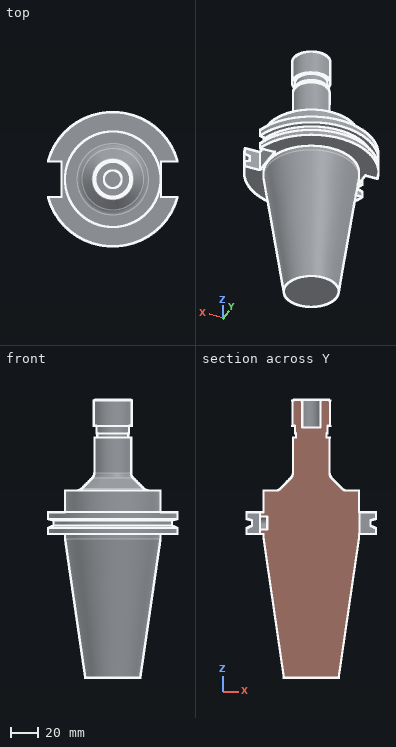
import cadquery as cq
import math

total_height = 203.2
taper_height = 101.4
gauge_radius = 35.0
taper_ratio = 7 / 24
taper_end_radius = gauge_radius - taper_height * taper_ratio / 2

flange_bottom = 105.0
flange_top = 121.1
flange_radius = 49.2
groove_floor_radius = 45.3
groove_bottom = 109.3
groove_floor_bottom = 111.2
groove_floor_top = 115.0
groove_top = 116.0

notch_width = 25.8
left_notch_floor = 37.5
right_notch_floor = 35.4
side_hole_radius = 4.7
side_hole_depth = 5.3

collar_top = 137.0
cone_foot_radius = 24.0
arbor_diameter = 27.0
arbor_radius = arbor_diameter / 2
cone_top = collar_top + cone_foot_radius - arbor_radius
blend_radius = 5.0
arbor_top = 175.5

lower_neck_radius = 11.4
upper_neck_radius = 12.0
neck_step_height = 178.6
head_radius = 14.0
head_bottom = 184.0
head_chamfer_width = 1.2
head_chamfer_height = head_chamfer_width * math.tan(math.radians(30))
bore_radius = 6.5
bore_depth = 20.3


def revolved(points):
    """Revolve a closed (radius, height) outline about the Z axis."""
    return cq.Workplane("XZ").polyline(points).close().revolve(360, (0, 0, 0), (0, 1, 0))


def shank_and_flange():
    return revolved([
        (0, 0),
        (taper_end_radius, 0),
        (gauge_radius, taper_height),
        (gauge_radius, flange_bottom),
        (flange_radius, flange_bottom),
        (flange_radius, groove_bottom),
        (groove_floor_radius, groove_floor_bottom),
        (groove_floor_radius, groove_floor_top),
        (flange_radius, groove_top),
        (flange_radius, flange_top),
        (0, flange_top),
    ])


def collar_and_arbor():
    body = revolved([
        (0, flange_top),
        (gauge_radius, flange_top),
        (gauge_radius, collar_top),
        (cone_foot_radius, collar_top),
        (arbor_radius, cone_top),
        (arbor_radius, arbor_top),
        (0, arbor_top),
    ])
    cone_edges = cq.selectors.BoxSelector(
        (-cone_foot_radius - 2, -cone_foot_radius - 2, collar_top - 2),
        (cone_foot_radius + 2, cone_foot_radius + 2, cone_top + 2),
        boundingbox=True,
    )
    return body.edges(cone_edges).edges("%CIRCLE").fillet(blend_radius)


def neck_and_head():
    return revolved([
        (0, arbor_top),
        (lower_neck_radius, arbor_top),
        (lower_neck_radius, neck_step_height),
        (upper_neck_radius, neck_step_height),
        (upper_neck_radius, head_bottom),
        (head_radius, head_bottom),
        (head_radius, total_height - head_chamfer_height),
        (head_radius - head_chamfer_width, total_height),
        (bore_radius, total_height),
        (bore_radius, total_height - bore_depth),
        (0, total_height - bore_depth),
    ])


def drive_notch(side, floor_distance):
    """Block that cuts the flange beyond the notch floor; side is -1 or +1 along X."""
    height = flange_top - flange_bottom
    notch_center = side * (floor_distance + flange_radius / 2)
    return (
        cq.Workplane("XY", origin=(notch_center, 0, flange_bottom))
        .rect(flange_radius, notch_width)
        .extrude(height)
    )


def side_hole():
    hole_height = (flange_bottom + flange_top) / 2
    return (
        cq.Workplane("YZ", origin=(-left_notch_floor, 0, hole_height))
        .circle(side_hole_radius)
        .extrude(side_hole_depth)
    )


result = (
    shank_and_flange()
    .union(collar_and_arbor())
    .union(neck_and_head())
    .cut(drive_notch(-1, left_notch_floor))
    .cut(drive_notch(1, right_notch_floor))
    .cut(side_hole())
)